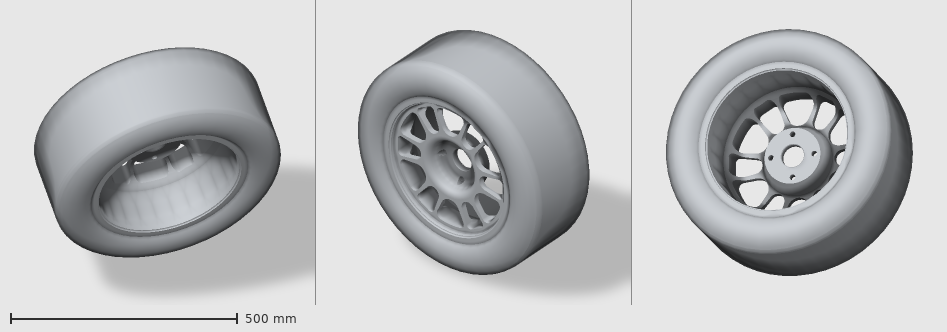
import cadquery as cq
import math


tyre_radius = 260.0
tyre_half_width = 110.0
tread_half_width = 77.5
shoulder_half_width = 92.0
shoulder_drop = 5.0

rim_half_width = 94.0
bead_radius = 180.5
lip_radius = 165.5
lip_round = 3.5
seat_radius = 159.5
seat_round = 3.0
barrel_radius = 157.0
barrel_start = -14.5

disc_front = -81.0
disc_thickness = 14.0
disc_back = disc_front + disc_thickness
disc_back_round = 17.5
barrel_flare = math.radians(26)

pocket_pairs = 6
pocket_outer_radius = 149.5
wide_tip_radius = 83.5
wide_tip_round = 26.0
wide_flank = math.radians(24.9)
wide_corner_round = 13.0
narrow_tip_radius = 83.0
narrow_tip_round = 18.0
narrow_flank = math.radians(11)
narrow_corner_round = 10.5

mouth_radius = 77.5
mouth_round = 16.0
cup_draft = math.radians(17.5)
cup_floor = -40.0
cup_round = 10.0
floor_thickness = 17.0
hub_back = cup_floor + floor_thickness
hub_base_radius = 80.0
hub_base_round = 6.0
hub_end_radius = 64.5

bore_radius = 26.0
bore_chamfer = 1.5
bolt_count = 4
bolt_circle_radius = 50.0
bolt_radius = 6.5
bolt_relief_radius = 8.0

cut_margin = 5.0
cut_start = disc_front - cut_margin
cut_depth = tyre_half_width - cut_start


def wheel_body():
    """Tyre, rim, disc and hub cup as one section, revolved around X."""
    shoulder_radius = tyre_radius - shoulder_drop
    shoulder_width = shoulder_half_width - tread_half_width
    shoulder_half_angle = math.atan(shoulder_drop / shoulder_width)
    shoulder_round = shoulder_width / math.sin(2 * shoulder_half_angle)
    shoulder_mid_x = tread_half_width + shoulder_round * math.sin(shoulder_half_angle)
    shoulder_mid_radius = tyre_radius - shoulder_round * (1 - math.cos(shoulder_half_angle))
    sidewall_mid_radius = (shoulder_radius + bead_radius) / 2

    round_x = disc_back + disc_back_round
    flare_radius_there = barrel_radius - (barrel_start - round_x) * math.tan(barrel_flare)
    round_radius = flare_radius_there - disc_back_round / math.cos(barrel_flare)
    flare_start_x = round_x - disc_back_round * math.sin(barrel_flare)
    flare_start_radius = round_radius + disc_back_round * math.cos(barrel_flare)

    neck_x = disc_front + mouth_round * (1 - math.sin(cup_draft))
    neck_radius = mouth_radius - mouth_round * math.cos(cup_draft)
    cup_end_x = cup_floor - cup_round * (1 - math.sin(cup_draft))
    cup_end_radius = neck_radius - (cup_end_x - neck_x) * math.tan(cup_draft)
    floor_radius = cup_end_radius - cup_round * math.cos(cup_draft)

    section = (
        cq.Workplane("XY")
        .moveTo(-tread_half_width, tyre_radius)
        .lineTo(tread_half_width, tyre_radius)
        .threePointArc((shoulder_mid_x, shoulder_mid_radius), (shoulder_half_width, shoulder_radius))
        .threePointArc((tyre_half_width, sidewall_mid_radius), (rim_half_width, bead_radius))
        .lineTo(rim_half_width, lip_radius)
        .radiusArc((rim_half_width - lip_round, lip_radius - lip_round), -lip_round)
        .lineTo(barrel_start, barrel_radius)
        .lineTo(flare_start_x, flare_start_radius)
        .radiusArc((disc_back, round_radius), -disc_back_round)
        .lineTo(disc_back, hub_base_radius + hub_base_round)
        .radiusArc((disc_back + hub_base_round, hub_base_radius), -hub_base_round)
        .lineTo(hub_back, hub_end_radius)
        .lineTo(hub_back, 0)
        .lineTo(cup_floor, 0)
        .lineTo(cup_floor, floor_radius)
        .radiusArc((cup_end_x, cup_end_radius), -cup_round)
        .lineTo(neck_x, neck_radius)
        .radiusArc((disc_front, mouth_radius), mouth_round)
        .lineTo(disc_front, seat_radius - seat_round)
        .radiusArc((disc_front - seat_round, seat_radius), -seat_round)
        .lineTo(-rim_half_width + lip_round, lip_radius - lip_round)
        .radiusArc((-rim_half_width, lip_radius), -lip_round)
        .lineTo(-rim_half_width, bead_radius)
        .threePointArc((-tyre_half_width, sidewall_mid_radius), (-shoulder_half_width, shoulder_radius))
        .threePointArc((-shoulder_mid_x, shoulder_mid_radius), (-tread_half_width, tyre_radius))
        .close()
    )
    return section.revolve(360, (0, 0, 0), (1, 0, 0))


def pocket(tip_radius, tip_round, flank, corner_round, outside):
    """Cutter at the top of the wheel: full round tip, straight flanks, filleted outer corners."""
    tip_centre = tip_radius + tip_round
    tip_y = tip_round * math.cos(flank)
    tip_z = tip_centre - tip_round * math.sin(flank)
    wide_z = tyre_radius
    wide_y = tip_y + (wide_z - tip_z) * math.tan(flank)
    wedge = (
        cq.Workplane("YZ", origin=(cut_start, 0, 0))
        .moveTo(-tip_y, tip_z)
        .threePointArc((0, tip_radius), (tip_y, tip_z))
        .lineTo(wide_y, wide_z)
        .lineTo(-wide_y, wide_z)
        .close()
        .extrude(cut_depth)
    )
    cutter = wedge.intersect(outside)
    outer_corners = cq.selectors.BoxSelector(
        (cut_start, -wide_y, tip_centre + tip_round),
        (cut_start + cut_depth, wide_y, wide_z),
    )
    return cutter.edges("|X").edges(outer_corners).fillet(corner_round)


def spoke_pockets():
    """Alternating wide (round outside) and narrow (flat outside) pockets, cut through the barrel."""
    start = cq.Workplane("YZ", origin=(cut_start, 0, 0))
    round_outside = start.circle(pocket_outer_radius).extrude(cut_depth)
    flat_outside = start.rect(2 * pocket_outer_radius, 2 * pocket_outer_radius).extrude(cut_depth)
    wide = pocket(wide_tip_radius, wide_tip_round, wide_flank, wide_corner_round, round_outside)
    narrow = pocket(narrow_tip_radius, narrow_tip_round, narrow_flank, narrow_corner_round, flat_outside)
    pitch = 360 / pocket_pairs
    cutters = cq.Workplane("YZ")
    for index in range(pocket_pairs):
        cutters = cutters.add(wide.rotate((0, 0, 0), (1, 0, 0), index * pitch))
        cutters = cutters.add(narrow.rotate((0, 0, 0), (1, 0, 0), (index + 0.5) * pitch))
    return cutters.combine()


def bore():
    """Centre hole through the cup floor, chamfered at both ends."""
    outline = (
        cq.Workplane("XY")
        .moveTo(cup_floor, 0)
        .lineTo(cup_floor, bore_radius + bore_chamfer)
        .lineTo(cup_floor + bore_chamfer, bore_radius)
        .lineTo(hub_back - bore_chamfer, bore_radius)
        .lineTo(hub_back, bore_radius + bore_chamfer)
        .lineTo(hub_back, 0)
        .close()
    )
    return outline.revolve(360, (0, 0, 0), (1, 0, 0))


def bolt_holes():
    """Bolt holes through the cup floor, with wider reliefs that notch the cup wall down to the floor."""
    floor = cq.Workplane("YZ", origin=(cup_floor, 0, 0)).polarArray(bolt_circle_radius, 0, 360, bolt_count)
    holes = floor.circle(bolt_radius).extrude(floor_thickness + cut_margin)
    reliefs = floor.circle(bolt_relief_radius).extrude(disc_front - cup_floor)
    return holes.union(reliefs)


result = wheel_body().cut(spoke_pockets()).cut(bore()).cut(bolt_holes())